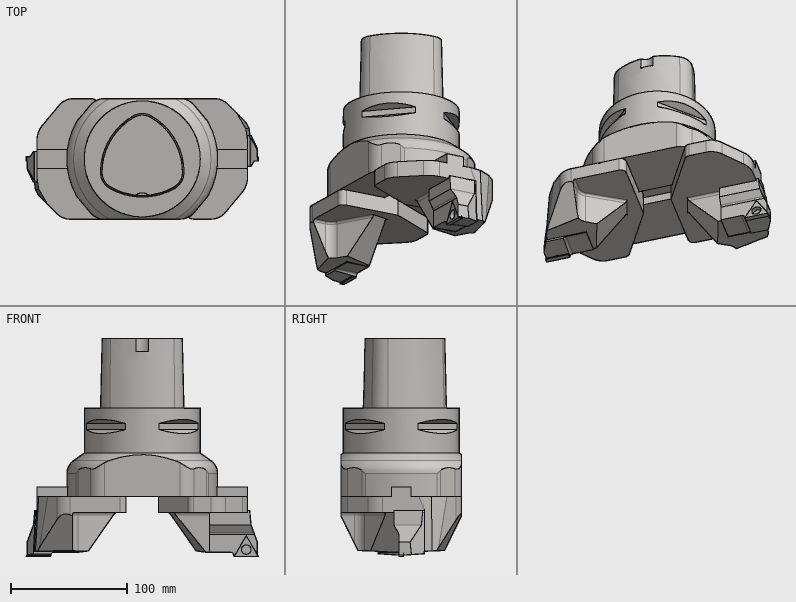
import cadquery as cq
import math


REACH = 399.9
TURNS = (0, 180)

top_z = 188.0
shank_base_z = 127.8
cone_top_z = 89.2
cone_base_z = 82.5
round_base_z = 71.4
seat_z = 51.5
key_top_z = 60.0
slab_base_z = 37.8

neck_radius = 50.0
flange_radius = 65.0
round_top_radius = 59.2
half_depth = 52.0
facet_distance = 64.0
facet_angle = 40.0
corner_radius = 16.0
key_half_width = 8.2

polygon_corner_radius = 16.0
polygon_side_radius = 56.0
shank_inset = 1.4
shank_slot_radius = 8.0
shank_slot_floor_y = -29.2
shank_slot_base_z = 176.7

groove_z = 112.0
groove_floor_distance = 44.0
groove_floor_height = 5.2
groove_flank_angle = 30.0

slide_inner_x = 13.8
slide_outer_x = 90.8
slide_corner_x = 68.8
plain_corner_x = 66.8
plain_corner_y = -23.2
end_corner_radius = 20.0
inner_corner_radius = 5.2
inner_cut_x = 41.0
inner_cut_angle = 60.0
flare = 2.4
lug_face_y = -0.8
lug_base_z = 3.5
fin_inner_x = 60.2
fin_root_y = 34.4
fin_root_radius = 10.0
lug_back_angle = 30.0
lug_top_radius = 2.0
lug_inner_x = 27.2
lug_slope_normal = (-1, -0.28, -0.81)
fin_top_z = 35.0
fin_back_normal = (0.23, 1, -0.49)
flare_corner = (89.2, 26.0, seat_z)
flare_corner_normal = (1, 0.58, 0.068)
flare_end_normal = (1, 0.15, 0.062)
bottom_clearance = 0.04

cartridge_inner_x = 57.8
cartridge_back_y = 20.0
cartridge_front_y = -6.4
cartridge_top_z = 39.8
rake_y = -2.0
nose_x = 78.8
nose_radius = 2.8
nose_base_z = lug_base_z - nose_radius
tip_face_x = 99.2
tip_face_top_z = 12.4
shoulder_x = 93.8
shoulder_z = 27.2
top_x = 92.5
undercut_y = -2.5
undercut_z = 20.5
rake_top_z = 18.8
relief_start_y = 7.5
relief_normal = (1, 0.47, 0.054)
nose_clearance = 0.07

insert_tip_x = 100.0
insert_side = 20.8
insert_thickness = 3.8
insert_hole_diameter = 8.2


def block_beyond(point, outward):
    """Large block filling the space on the outward side of a plane."""
    plane = cq.Plane(origin=point, normal=outward)
    return cq.Workplane(plane).box(REACH, REACH, REACH, centered=(True, True, False))


def spun(body, angle):
    return body.rotate((0, 0, 0), (0, 0, 1), angle)


def polar(radius, angle):
    return (radius * math.cos(math.radians(angle)), radius * math.sin(math.radians(angle)))


def make_shank():
    """Tapered polygon of three small corner arcs and three large side arcs."""
    centre_distance = (polygon_side_radius - polygon_corner_radius) / math.sqrt(3)

    def arc_point(centre_angle, radius, angle):
        cx, cy = polar(centre_distance, centre_angle)
        dx, dy = polar(radius, angle)
        return (cx + dx, cy + dy)

    outline = cq.Workplane("XY", origin=(0, 0, shank_base_z))
    outline = outline.moveTo(*arc_point(90, polygon_corner_radius, 60))
    for corner in (90, 210, 330):
        opposite = corner + 240
        outline = outline.threePointArc(
            arc_point(corner, polygon_corner_radius, corner),
            arc_point(corner, polygon_corner_radius, corner + 30),
        ).threePointArc(
            arc_point(opposite, polygon_side_radius, corner + 60),
            arc_point(opposite, polygon_side_radius, corner + 90),
        )
    height = top_z - shank_base_z
    taper = math.degrees(math.atan(shank_inset / height))
    shank = outline.close().extrude(height, taper=taper)
    slot = (
        cq.Workplane("XY", origin=(0, shank_slot_floor_y - shank_slot_radius, shank_slot_base_z))
        .circle(shank_slot_radius)
        .extrude(height)
    )
    return shank.cut(slot)


def make_flange():
    """Turned flange and neck, cut to the flats and corner facets below the neck."""
    turned = (
        cq.Workplane("XZ")
        .moveTo(0, seat_z)
        .lineTo(flange_radius, seat_z)
        .lineTo(flange_radius, round_base_z)
        .tangentArcPoint((round_top_radius, cone_base_z), relative=False)
        .lineTo(neck_radius, cone_top_z)
        .lineTo(neck_radius, shank_base_z)
        .lineTo(0, shank_base_z)
        .close()
        .revolve(360, (0, 0, 0), (0, 1, 0))
    )
    height = shank_base_z - seat_z
    core = cq.Workplane("XY", origin=(0, 0, seat_z)).circle(flange_radius - corner_radius).extrude(height)
    core = core.intersect(cq.Workplane("XY").box(REACH, 2 * (half_depth - corner_radius), REACH))
    for angle in (facet_angle, 180 - facet_angle, 180 + facet_angle, -facet_angle):
        x, y = polar(facet_distance - corner_radius, angle)
        core = core.cut(block_beyond((x, y, 0), (x, y, 0)))
    prism = core.faces("<Z").wires().toPending().offset2D(corner_radius).extrude(height)
    return turned.intersect(prism)


def cut_grooves(housing):
    """Four gripper grooves with a flat floor and sloping flanks, on the diagonals."""
    depth = flange_radius - groove_floor_distance
    floor = groove_floor_height / 2
    mouth = floor + depth * math.tan(math.radians(groove_flank_angle))
    groove = (
        cq.Workplane("XZ")
        .polyline([
            (groove_floor_distance, groove_z - floor),
            (flange_radius, groove_z - mouth),
            (flange_radius, groove_z + mouth),
            (groove_floor_distance, groove_z + floor),
        ])
        .close()
        .extrude(flange_radius, both=True)
    )
    for angle in (45, 135, 225, 315):
        housing = housing.cut(spun(groove, angle))
    return housing


def make_housing():
    housing = cut_grooves(make_flange()).union(make_shank())
    key_slot = cq.Workplane("XY").box(REACH, 2 * key_half_width, 2 * key_top_z)
    return housing.cut(key_slot)


def make_slide_blank():
    """Full-height block with the plan outline of the slide and the key on top."""
    inner_cut_y = -half_depth + (inner_cut_x - slide_inner_x) * math.tan(math.radians(inner_cut_angle))
    flare_x = slide_outer_x + flare
    flare_y = slide_corner_x + half_depth - flare_x
    blank = (
        cq.Workplane("XY")
        .polyline([
            (slide_inner_x, half_depth),
            (slide_corner_x, half_depth),
            (flare_x, flare_y),
            (flare_x, cartridge_back_y),
            (slide_outer_x, cartridge_back_y),
            (slide_outer_x, plain_corner_y),
            (plain_corner_x, -half_depth),
            (inner_cut_x, -half_depth),
            (slide_inner_x, inner_cut_y),
        ])
        .close()
        .extrude(key_top_z)
    )

    def round_corner(body, x, y, radius):
        corner = cq.selectors.NearestToPointSelector((x, y, key_top_z / 2))
        return body.edges("|Z").edges(corner).fillet(radius)

    blank = round_corner(blank, slide_inner_x, half_depth, inner_corner_radius)
    blank = round_corner(blank, inner_cut_x, -half_depth, inner_corner_radius)
    blank = round_corner(blank, slide_corner_x, half_depth, corner_radius)
    blank = round_corner(blank, plain_corner_x, -half_depth, corner_radius)
    blank = round_corner(blank, slide_outer_x, plain_corner_y, end_corner_radius)
    for side in (1, -1):
        beside_key = cq.Workplane("XY").box(REACH, REACH, REACH, centered=(True, True, False))
        blank = blank.cut(beside_key.translate((0, side * (key_half_width + REACH / 2), seat_z)))
    return blank


def hollow_slide_underside(slide):
    """Leave only the lug below the slab, with a round where its walls meet the slab."""
    line_end_x = -REACH / 2
    line_end_y = fin_root_y - (fin_inner_x - line_end_x) * math.tan(math.radians(lug_back_angle))
    behind_lug = (
        cq.Workplane("XY")
        .polyline([
            (fin_inner_x, REACH),
            (fin_inner_x, fin_root_y),
            (line_end_x, line_end_y),
            (line_end_x, REACH),
        ])
        .close()
        .extrude(slab_base_z)
    )
    root = cq.selectors.NearestToPointSelector((fin_inner_x, fin_root_y, slab_base_z / 2))
    behind_lug = behind_lug.edges("|Z").edges(root).fillet(fin_root_radius)
    before_lug = cq.Workplane("XY").box(REACH, REACH, slab_base_z, centered=(True, True, False))
    before_lug = before_lug.translate((0, lug_face_y - REACH / 2, 0))
    for hollow in (behind_lug, before_lug):
        slide = slide.cut(hollow.faces(">Z").edges().fillet(lug_top_radius))
    cartridge_seat = (
        cq.Workplane("XY", origin=(cartridge_inner_x, cartridge_back_y - REACH, 0))
        .box(REACH, REACH, slab_base_z, centered=False)
    )
    return slide.cut(cartridge_seat)


def make_slide():
    slide = hollow_slide_underside(make_slide_blank())
    below_slab = cq.Workplane("XY").box(REACH, REACH, 2 * slab_base_z)
    inner_slope = block_beyond((lug_inner_x, lug_face_y, slab_base_z), lug_slope_normal)
    slide = slide.cut(inner_slope.intersect(below_slab))
    slide = slide.cut(block_beyond((fin_inner_x, half_depth, fin_top_z), fin_back_normal))
    slide = slide.cut(block_beyond(flare_corner, flare_corner_normal))
    slide = slide.cut(block_beyond(flare_corner, flare_end_normal))
    return slide.cut(block_beyond((0, lug_face_y, lug_base_z), (0, bottom_clearance, -1)))


def triangle_prism(thickness):
    """Equilateral triangle with its base on Z = 0, running back from the rake face."""
    height = insert_side * math.sqrt(3) / 2
    return (
        cq.Workplane("XZ", origin=(0, rake_y, 0))
        .polyline([
            (insert_tip_x - insert_side, 0),
            (insert_tip_x, 0),
            (insert_tip_x - insert_side / 2, height),
        ])
        .close()
        .extrude(-thickness)
    )


def make_cartridge():
    """Intersection of the outline along Y and the outline along X, with a relieved outer face."""
    along_y = (
        cq.Workplane("XZ")
        .moveTo(cartridge_inner_x, lug_base_z)
        .lineTo(nose_x - nose_radius, lug_base_z)
        .radiusArc((nose_x, nose_base_z), nose_radius)
        .lineTo(tip_face_x, nose_base_z)
        .lineTo(tip_face_x, tip_face_top_z)
        .lineTo(shoulder_x, shoulder_z)
        .lineTo(top_x, cartridge_top_z)
        .lineTo(slide_outer_x, cartridge_top_z)
        .lineTo(slide_outer_x, slab_base_z)
        .lineTo(cartridge_inner_x, slab_base_z)
        .close()
        .extrude(REACH, both=True)
    )
    along_x = (
        cq.Workplane("YZ")
        .polyline([
            (cartridge_back_y, 0),
            (cartridge_back_y, cartridge_top_z),
            (cartridge_front_y, cartridge_top_z),
            (cartridge_front_y, shoulder_z),
            (undercut_y, undercut_z),
            (rake_y, rake_top_z),
            (rake_y, 0),
        ])
        .close()
        .extrude(REACH)
    )
    cartridge = along_y.intersect(along_x)
    cartridge = cartridge.cut(block_beyond((tip_face_x, relief_start_y, tip_face_top_z), relief_normal))
    cartridge = cartridge.cut(block_beyond((0, rake_y, nose_base_z), (0, nose_clearance, -1)))
    return cartridge.cut(triangle_prism(insert_thickness))


def make_insert():
    centre_x = insert_tip_x - insert_side / 2
    centre_z = insert_side / (2 * math.sqrt(3))
    hole = (
        cq.Workplane("XZ", origin=(centre_x, rake_y, centre_z))
        .circle(insert_hole_diameter / 2)
        .extrude(-insert_thickness)
    )
    return triangle_prism(insert_thickness).cut(hole)


housing = make_housing()
slides = [spun(make_slide(), turn) for turn in TURNS]
cartridges = [spun(make_cartridge(), turn) for turn in TURNS]
inserts = [spun(make_insert(), turn) for turn in TURNS]

bodies = [housing, *slides, *cartridges, *inserts]
result = cq.Compound.makeCompound([body.solids().val() for body in bodies])